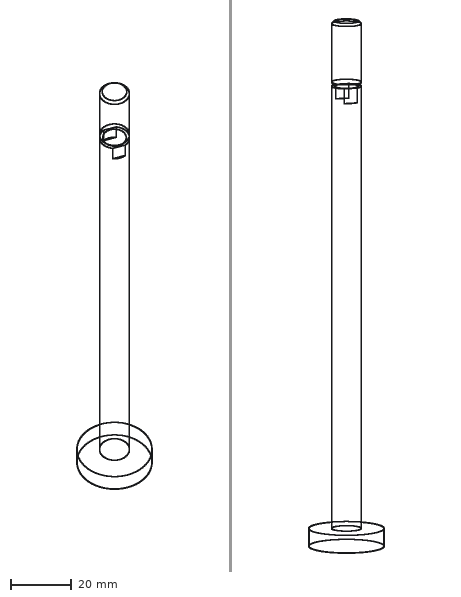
import cadquery as cq

total_length = 177.5
head_diameter = 25.0
head_thickness = 6.0
shank_diameter = 10.0

tip_length = 22.0
tip_chamfer = 0.9
taper_height = 1.5
taper_inset = 1.0

flat_height = 5.0
across_flats = 8.9

head_radius = head_diameter / 2
shank_radius = shank_diameter / 2
shank_top = total_length - tip_length


def make_turned_body():
    """Revolve the head, shank and undercut tip about Z."""
    half_profile = [
        (0, 0),
        (head_radius, 0),
        (head_radius, head_thickness),
        (shank_radius, head_thickness),
        (shank_radius, shank_top),
        (shank_radius - taper_inset, shank_top),
        (shank_radius, shank_top + taper_height),
        (shank_radius, total_length - tip_chamfer),
        (shank_radius - tip_chamfer, total_length),
        (0, total_length),
    ]
    return cq.Workplane("XZ").polyline(half_profile).close().revolve(360, (0, 0), (0, 1))


def make_flat_cutter(side):
    """Block that removes the shank beyond one flat; side is -1 or +1 along X."""
    center_x = side * (across_flats + shank_diameter) / 2
    center_z = shank_top - flat_height / 2
    cutter = cq.Workplane("XY").box(shank_diameter, shank_diameter, flat_height)
    return cutter.translate((center_x, 0, center_z))


result = make_turned_body()
for side in (-1, 1):
    result = result.cut(make_flat_cutter(side))